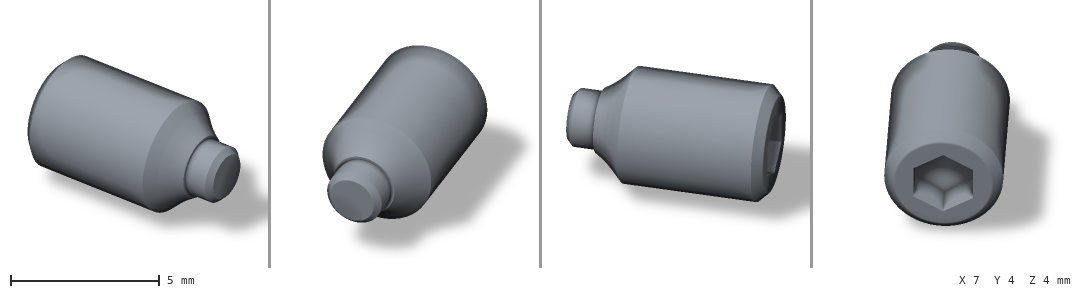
import math

import cadquery as cq


thread_pitch = 0.7
length = 7.0
body_radius = 4.0 / 2
socket_end_chamfer = 0.34
chamfer_angle = 45.0
socket_end_edge_radius = 0.1

shoulder_end = 6.0
shoulder_start = shoulder_end - 1.5 * thread_pitch
shoulder_cone = thread_pitch / 2
shoulder_end_radius = 1.115

point_radius = 1.0
point_chamfer = 0.2

socket_across_flats = 2.0
socket_depth = 1.1
socket_cone_angle = 120.0
hexagon_sides = 6
hexagon_half_angle = 180.0 / hexagon_sides


def revolve_about_axis(profile):
    """Turn a closed profile, drawn as (x, radius), fully around the X axis."""
    return profile.close().revolve(360, (0, 0, 0), (1, 0, 0))


def make_body():
    """Turned screw blank with its rounded end chamfer, shoulder and dog point."""
    face_corner_radius = body_radius - socket_end_chamfer
    tangent_length = socket_end_edge_radius * math.tan(math.radians(chamfer_angle / 2))
    tangent_leg = tangent_length * math.sin(math.radians(chamfer_angle))
    profile = (
        cq.Workplane("XY")
        .moveTo(0, 0)
        .lineTo(0, face_corner_radius - tangent_length)
        .tangentArcPoint((tangent_leg, face_corner_radius + tangent_leg), relative=False)
        .lineTo(socket_end_chamfer, body_radius)
        .lineTo(shoulder_start, body_radius)
        .lineTo(shoulder_start + shoulder_cone, body_radius - shoulder_cone)
        .tangentArcPoint((shoulder_end, shoulder_end_radius), relative=False)
        .lineTo(shoulder_end, point_radius)
        .lineTo(length - point_chamfer, point_radius)
        .lineTo(length, point_radius - point_chamfer)
        .lineTo(length, 0)
    )
    return revolve_about_axis(profile)


def make_socket():
    """Hexagon with two corners on the Z direction, ended by a cone through those corners."""
    corner_radius = socket_across_flats / 2 / math.cos(math.radians(hexagon_half_angle))
    cone_height = corner_radius / math.tan(math.radians(socket_cone_angle / 2))
    tip = socket_depth + cone_height
    hexagon = (
        cq.Workplane("YZ")
        .polygon(hexagon_sides, 2 * corner_radius)
        .extrude(tip)
        .rotate((0, 0, 0), (1, 0, 0), hexagon_half_angle)
    )
    drill = revolve_about_axis(
        cq.Workplane("XY")
        .moveTo(0, 0)
        .lineTo(0, corner_radius)
        .lineTo(socket_depth, corner_radius)
        .lineTo(tip, 0)
    )
    return hexagon.intersect(drill)


result = make_body().cut(make_socket())